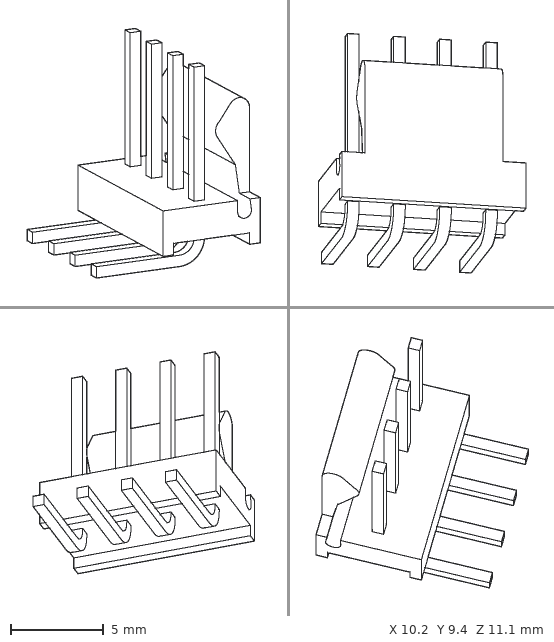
import cadquery as cq
import math


pin_count = 4
housing_length = 10.15
pitch = housing_length / pin_count
housing_depth = 5.87
housing_top = 3.55
foot_bottom = 1.01
foot_height = 0.64
foot_depth = 0.64
floor_bottom = foot_bottom + foot_height

pin_size = 0.64
pin_top = 11.05
pin_back = 2.87
tail_reach = 9.4
bend_inner_radius = 0.86
bend_outer_radius = bend_inner_radius + pin_size

slot_front = 1.37
slot_radius = 0.42
slot_center = slot_front - slot_radius
slot_center_height = 2.93
slot_back = slot_center - slot_radius

latch_length = (pin_count - 1) * pitch
latch_top = 8.9
crown_radius = 0.64
crown_center_height = latch_top - crown_radius
crown_end_angle = math.radians(36)
neck_depth = 0.86
neck_height = 5.17
nose_upper = (1.83, 7.71)
nose_tip = (2.05, 7.23)
nose_lower = (1.92, 6.81)


def at(depth, height):
    """Side-profile point from distance in front of the back face and height."""
    return (-depth, height)


def extrude_along_row(profile, length):
    """Extrude a closed side profile symmetrically about X = 0."""
    return profile.extrude(length / 2, both=True)


def make_housing():
    profile = (
        cq.Workplane("YZ")
        .moveTo(*at(0, foot_bottom))
        .lineTo(*at(foot_depth, foot_bottom))
        .lineTo(*at(foot_depth, floor_bottom))
        .lineTo(*at(housing_depth - foot_depth, floor_bottom))
        .lineTo(*at(housing_depth - foot_depth, foot_bottom))
        .lineTo(*at(housing_depth, foot_bottom))
        .lineTo(*at(housing_depth, housing_top))
        .lineTo(*at(0, housing_top))
        .close()
    )
    return extrude_along_row(profile, housing_length)


def make_slot():
    slope = (neck_depth - slot_back) / (neck_height - slot_center_height)
    back_at_top = slot_back + slope * (housing_top - slot_center_height)
    profile = (
        cq.Workplane("YZ")
        .moveTo(*at(back_at_top, housing_top))
        .lineTo(*at(slot_back, slot_center_height))
        .threePointArc(
            at(slot_center, slot_center_height - slot_radius),
            at(slot_front, slot_center_height),
        )
        .lineTo(*at(slot_front, housing_top))
        .close()
    )
    return extrude_along_row(profile, housing_length)


def make_latch():
    crown_end = at(
        crown_radius * (1 + math.cos(crown_end_angle)),
        crown_center_height + crown_radius * math.sin(crown_end_angle),
    )
    profile = (
        cq.Workplane("YZ")
        .moveTo(*at(0, slot_center_height))
        .lineTo(*at(0, crown_center_height))
        .threePointArc(at(crown_radius, latch_top), crown_end)
        .lineTo(*at(*nose_upper))
        .threePointArc(at(*nose_tip), at(*nose_lower))
        .lineTo(*at(neck_depth, neck_height))
        .lineTo(*at(slot_back, slot_center_height))
        .close()
    )
    return extrude_along_row(profile, latch_length)


def make_pin():
    pin_front = pin_back + pin_size
    bend_end = pin_back + bend_outer_radius
    diagonal = math.sqrt(0.5)
    outer_mid = at(
        bend_end - bend_outer_radius * diagonal,
        bend_outer_radius * (1 - diagonal),
    )
    inner_mid = at(
        bend_end - bend_inner_radius * diagonal,
        bend_outer_radius - bend_inner_radius * diagonal,
    )
    profile = (
        cq.Workplane("YZ")
        .moveTo(*at(pin_back, pin_top))
        .lineTo(*at(pin_back, bend_outer_radius))
        .threePointArc(outer_mid, at(bend_end, 0))
        .lineTo(*at(tail_reach, 0))
        .lineTo(*at(tail_reach, pin_size))
        .lineTo(*at(bend_end, pin_size))
        .threePointArc(inner_mid, at(pin_front, bend_outer_radius))
        .lineTo(*at(pin_front, pin_top))
        .close()
    )
    return extrude_along_row(profile, pin_size)


result = make_housing().cut(make_slot()).union(make_latch())
pin = make_pin()
for index in range(pin_count):
    pin_x = (index - (pin_count - 1) / 2) * pitch
    result = result.union(pin.translate((pin_x, 0, 0)))